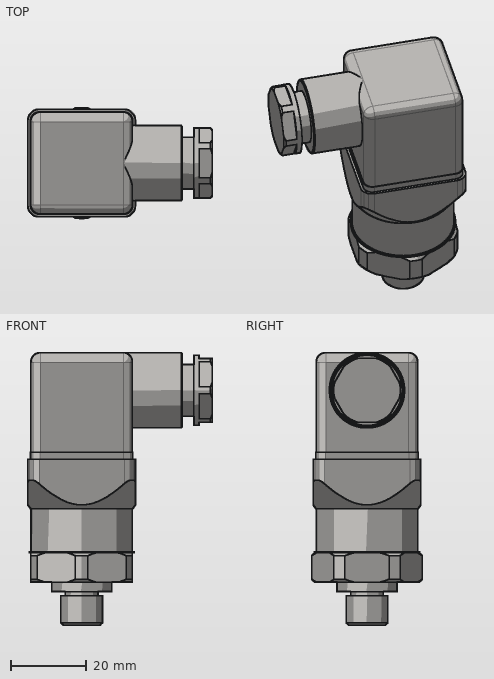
import cadquery as cq
import math


stud_diameter = 11.1
stud_height = 7.9
stud_chamfer = 0.75
relief_diameter = 8.75
relief_height = 1.1
collar_diameter = 16.0
collar_height = 2.5

hex_across_flats = 27.0
hex_across_corners = 29.44
hex_height = 7.8
hex_chamfer = 0.8
ring_diameter = 27.9
ring_height = 0.25

barrel_diameter = 27.0
barrel_height = 11.45
head_width = 28.6
head_base_diameter = 27.2
head_height = 13.15
head_corner_radius = 3.0
head_corner_diameter = 37.8
head_cone_angle = 55.0

total_height = 72.4
housing_width = 27.0
housing_round = 2.5
foot_width = 27.2
foot_height = 1.8

outlet_diameter = 20.0
outlet_end = 26.7
outlet_chamfer = 0.3
gland_neck_diameter = 13.8
gland_flange_start = 29.8
gland_flange_thickness = 1.4
gland_end = 34.67
gland_diameter = 18.66
gland_across_flats = 17.0
gland_chamfer = 0.5

collar_bottom = stud_height + relief_height
hex_bottom = collar_bottom + collar_height
ring_bottom = hex_bottom + hex_height
barrel_bottom = ring_bottom + ring_height
head_bottom = barrel_bottom + barrel_height
head_top = head_bottom + head_height
housing_bottom = head_top + foot_height
outlet_height = total_height - outlet_diameter / 2


def upright_cylinder(diameter, bottom, height):
    return cq.Workplane("XY").workplane(offset=bottom).circle(diameter / 2).extrude(height)


def outlet_cylinder(diameter, start, end):
    plane = cq.Workplane("YZ", origin=(start, 0, outlet_height))
    return plane.circle(diameter / 2).extrude(end - start)


def rounded_block(width, corner_radius, bottom, height):
    block = cq.Workplane("XY").workplane(offset=bottom).rect(width, width).extrude(height)
    return block.edges("|Z").fillet(corner_radius)


def hexagon_corner_circle(across_flats):
    return across_flats / math.cos(math.radians(30))


def sensor_hexagon():
    prism = (
        cq.Workplane("XY")
        .workplane(offset=hex_bottom)
        .transformed(rotate=(0, 0, 30))
        .polygon(6, hexagon_corner_circle(hex_across_flats))
        .extrude(hex_height)
    )
    blank = upright_cylinder(hex_across_corners, hex_bottom, hex_height).edges().chamfer(hex_chamfer)
    return prism.intersect(blank)


def sensor_head():
    """Square head whose corners run down a cone to the barrel."""
    corner_radius = head_corner_diameter / 2
    base_radius = head_base_diameter / 2
    cone_height = (corner_radius - base_radius) * math.tan(math.radians(head_cone_angle))
    turned_blank = (
        cq.Workplane("XZ")
        .moveTo(0, head_bottom)
        .lineTo(base_radius, head_bottom)
        .lineTo(corner_radius, head_bottom + cone_height)
        .lineTo(corner_radius, head_top)
        .lineTo(0, head_top)
        .close()
        .revolve(360, (0, 0, 0), (0, 1, 0))
    )
    return rounded_block(head_width, head_corner_radius, head_bottom, head_height).intersect(turned_blank)


def make_sensor():
    stud = upright_cylinder(stud_diameter, 0, stud_height).faces("<Z").chamfer(stud_chamfer)
    return (
        stud.union(upright_cylinder(relief_diameter, stud_height, relief_height))
        .union(upright_cylinder(collar_diameter, collar_bottom, collar_height))
        .union(sensor_hexagon())
        .union(upright_cylinder(ring_diameter, ring_bottom, ring_height))
        .union(upright_cylinder(barrel_diameter, barrel_bottom, barrel_height))
        .union(sensor_head())
    )


def gland():
    """Round neck, round flange and hexagonal end of the cable gland."""
    flats_start = gland_flange_start + gland_flange_thickness
    flange = outlet_cylinder(gland_diameter, gland_flange_start, flats_start)
    prism = (
        cq.Workplane("YZ", origin=(flats_start, 0, outlet_height))
        .polygon(6, hexagon_corner_circle(gland_across_flats))
        .extrude(gland_end - flats_start)
    )
    blank = outlet_cylinder(gland_diameter, flats_start, gland_end).faces(">X").chamfer(gland_chamfer)
    neck = outlet_cylinder(gland_neck_diameter, outlet_end, gland_flange_start)
    return neck.union(flange).union(prism.intersect(blank))


def make_plug():
    foot = rounded_block(foot_width, housing_round, head_top, foot_height)
    housing_height = total_height - housing_bottom
    housing = rounded_block(housing_width, housing_round, housing_bottom, housing_height)
    housing = housing.faces(">Z").edges().fillet(housing_round)
    outlet = outlet_cylinder(outlet_diameter, 0, outlet_end).faces(">X").chamfer(outlet_chamfer)
    return foot.union(housing).union(outlet).union(gland())


sensor = make_sensor()
plug = make_plug()

result = cq.Compound.makeCompound([sensor.val(), plug.val()])